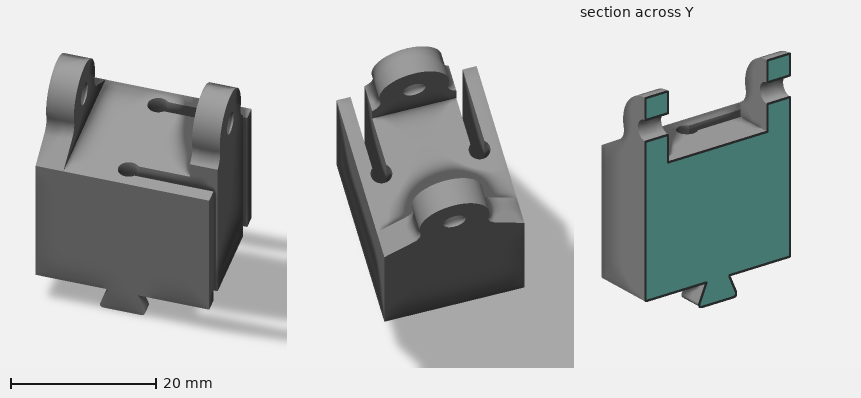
import cadquery as cq
import math

block_length = 25.0
block_width = 20.0
block_height = 20.0

lug_thickness = 4.0
lug_radius = 5.0
lug_hole_diameter = 3.2
shoulder_angle = math.radians(30)
shoulder_fillet_radius = 2.0

slot_width = 2.0
slot_offset = 7.0
slot_end_x = 0.0
relief_hole_diameter = 3.0

rail_length = 14.0
rail_height = 3.5
rail_neck_width = 4.0
rail_flank_angle = math.radians(23)
rail_corner_radius = 0.5

lug_centre_z = block_height + block_width / 2 * math.tan(shoulder_angle)


def polar_from_lug_centre(distance, angle):
    """Point in the YZ plane at a distance from the lug centre and an angle below +Y."""
    return distance * math.cos(angle), lug_centre_z - distance * math.sin(angle)


def mirrored(point):
    return -point[0], point[1]


def make_lug(start_x):
    """Rounded lug on sloping shoulders, blended by fillets tangent to both."""
    fillet_distance = lug_radius + shoulder_fillet_radius
    fillet_spread = math.asin(shoulder_fillet_radius / fillet_distance)
    fillet_angle = shoulder_angle - fillet_spread
    slope_distance = fillet_distance * math.cos(fillet_spread)

    slope_end = polar_from_lug_centre(slope_distance, shoulder_angle)
    round_start = polar_from_lug_centre(lug_radius, fillet_angle)
    fillet_centre = polar_from_lug_centre(fillet_distance, fillet_angle)
    to_round = math.pi - fillet_angle
    to_slope = 3 * math.pi / 2 - shoulder_angle
    middle_direction = (to_round + to_slope) / 2
    fillet_middle = (
        fillet_centre[0] + shoulder_fillet_radius * math.cos(middle_direction),
        fillet_centre[1] + shoulder_fillet_radius * math.sin(middle_direction),
    )
    lug_top = (0, lug_centre_z + lug_radius)

    return (
        cq.Workplane("YZ", origin=(start_x, 0, 0))
        .moveTo(-block_width / 2, block_height)
        .lineTo(*mirrored(slope_end))
        .threePointArc(mirrored(fillet_middle), mirrored(round_start))
        .threePointArc(lug_top, round_start)
        .threePointArc(fillet_middle, slope_end)
        .lineTo(block_width / 2, block_height)
        .close()
        .moveTo(0, lug_centre_z)
        .circle(lug_hole_diameter / 2)
        .extrude(lug_thickness)
    )


def trim_to_tongue(lug):
    """Keep only the part of a lug that stands on the tongue between the two slots."""
    tongue_width = 2 * slot_offset - slot_width
    tongue_space = cq.Workplane("XY").box(block_length, tongue_width, 2 * (lug_centre_z + lug_radius))
    return lug.intersect(tongue_space)


def make_slot(centre_y):
    """Slot open at the +X face, ending in a round relief hole, cut through block and rail."""
    cut_height = rail_height + block_height
    slot_length = block_length / 2 - slot_end_x
    slot = cq.Workplane("XY").box(slot_length, slot_width, cut_height, centered=(False, True, False))
    relief_hole = cq.Workplane("XY").circle(relief_hole_diameter / 2).extrude(cut_height)
    return slot.union(relief_hole).translate((slot_end_x, centre_y, -rail_height))


def make_rail():
    """Dovetail rail widening downwards, with rounded lower corners."""
    rail_base_width = rail_neck_width + 2 * rail_height * math.tan(rail_flank_angle)
    rail = (
        cq.Workplane("XZ", origin=(0, -block_width / 2, 0))
        .moveTo(-rail_neck_width / 2, 0)
        .lineTo(rail_neck_width / 2, 0)
        .lineTo(rail_base_width / 2, -rail_height)
        .lineTo(-rail_base_width / 2, -rail_height)
        .close()
        .extrude(-rail_length)
    )
    return rail.faces("<Z").edges("|Y").fillet(rail_corner_radius)


block = cq.Workplane("XY").box(block_length, block_width, block_height, centered=(True, True, False))
fixed_lug = make_lug(-block_length / 2)
flexing_lug = trim_to_tongue(make_lug(block_length / 2 - lug_thickness))

result = block.union(fixed_lug).union(flexing_lug).union(make_rail())
for side in (-1, 1):
    result = result.cut(make_slot(side * slot_offset))